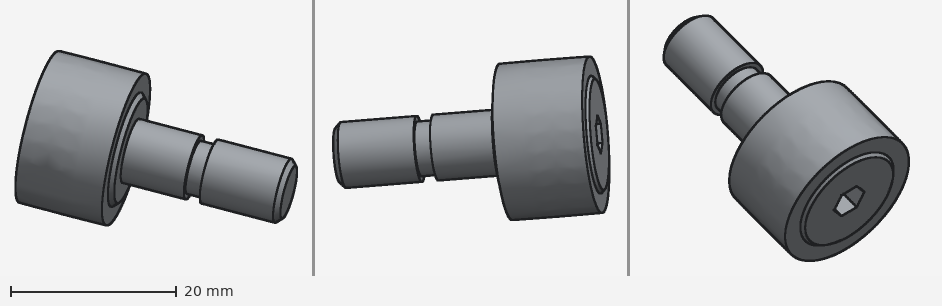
import cadquery as cq
import math

total_length = 32.0
roller_start = 0.4
roller_end = 11.4
head_end = 12.0
groove_start = 20.0
groove_end = 22.0

roller_diameter = 19.0
flange_diameter = 14.27
stem_diameter = 8.0
groove_diameter = 6.65

crown_radius = 500.0

tip_chamfer = 0.7
front_chamfer = roller_start
back_chamfer = head_end - roller_end

hex_across_flats = 4.0
hex_depth = 2.8
drill_point_angle = 120.0


def stud_body():
    """Revolve the roller, flanges and stem about the X axis."""
    roller_radius = roller_diameter / 2
    flange_radius = flange_diameter / 2
    stem_radius = stem_diameter / 2
    groove_radius = groove_diameter / 2
    roller_middle = (roller_start + roller_end) / 2
    half_width = (roller_end - roller_start) / 2
    crown_drop = crown_radius - math.sqrt(crown_radius**2 - half_width**2)
    roller_edge_radius = roller_radius - crown_drop
    return (
        cq.Workplane("XY")
        .lineTo(0, flange_radius - front_chamfer)
        .lineTo(roller_start, flange_radius)
        .lineTo(roller_start, roller_edge_radius)
        .threePointArc((roller_middle, roller_radius), (roller_end, roller_edge_radius))
        .lineTo(roller_end, flange_radius)
        .lineTo(head_end, flange_radius - back_chamfer)
        .lineTo(head_end, stem_radius)
        .lineTo(groove_start, stem_radius)
        .lineTo(groove_start, groove_radius)
        .lineTo(groove_end, groove_radius)
        .lineTo(groove_end, stem_radius)
        .lineTo(total_length - tip_chamfer, stem_radius)
        .lineTo(total_length, stem_radius - tip_chamfer)
        .lineTo(total_length, 0)
        .close()
        .revolve(360, (0, 0, 0), (1, 0, 0))
    )


def hex_socket():
    """Hexagonal hole with corners along Y, whose bottom is cut by a cone reaching the corners."""
    corner_radius = hex_across_flats / 2 / math.cos(math.radians(30))
    cone_depth = corner_radius / math.tan(math.radians(drill_point_angle / 2))
    hexagon = cq.Workplane("YZ").polygon(6, 2 * corner_radius).extrude(hex_depth + cone_depth)
    pointed_cylinder = (
        cq.Workplane("XY")
        .lineTo(0, corner_radius)
        .lineTo(hex_depth, corner_radius)
        .lineTo(hex_depth + cone_depth, 0)
        .close()
        .revolve(360, (0, 0, 0), (1, 0, 0))
    )
    return hexagon.intersect(pointed_cylinder)


result = stud_body().cut(hex_socket())